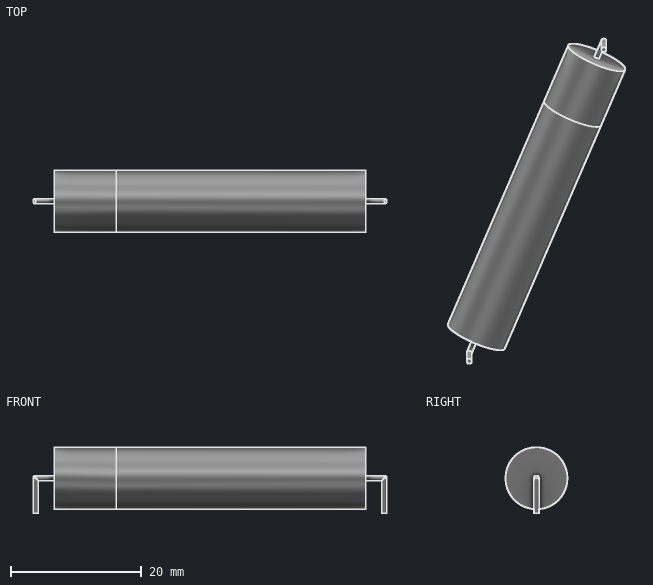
import cadquery as cq

overall_length = 54.15
case_diameter = 9.55
case_length = 47.75
cap_length = 9.55
wire_diameter = 0.8
leg_depth = 5.35

case_radius = case_diameter / 2
wire_radius = wire_diameter / 2
case_end = case_length / 2
bend_x = overall_length / 2 - wire_radius
arm_length = bend_x - case_end

LEFT = -1
RIGHT = 1


def x_cylinder(radius, start_x, length):
    """Cylinder on the X axis, running toward +X from start_x."""
    return cq.Workplane("YZ", origin=(start_x, 0, 0)).circle(radius).extrude(length)


def make_cap():
    """Short section at the -X end of the case."""
    return x_cylinder(case_radius, -case_end, cap_length)


def make_body():
    """Long section of the case, touching the cap."""
    return x_cylinder(case_radius, cap_length - case_end, case_length - cap_length)


def mitre_cutter(side, toward_arm):
    """Wedge on one side of the 45 degree mitre inside a bend."""
    inner_x = side * (bend_x - wire_diameter)
    bend = (side * bend_x, 0)
    inner_corner = (inner_x, -wire_diameter)
    third_corner = (inner_x, 0) if toward_arm else (side * bend_x, -wire_diameter)
    return (
        cq.Workplane("XZ")
        .polyline([bend, inner_corner, third_corner])
        .close()
        .extrude(wire_diameter, both=True)
    )


def make_arm(side):
    """Wire from the case end face to the bend, mitred on its underside."""
    start_x = case_end if side == RIGHT else -bend_x
    return x_cylinder(wire_radius, start_x, arm_length).cut(mitre_cutter(side, toward_arm=False))


def make_leg(side):
    """Wire from the bend down to the tip, mitred on its inner side."""
    leg = cq.Workplane("XY", origin=(side * bend_x, 0, 0)).circle(wire_radius).extrude(-leg_depth)
    return leg.cut(mitre_cutter(side, toward_arm=True))


def make_elbow(side):
    """Quarter ball that rounds the outside of the bend between arm and leg."""
    ball = cq.Workplane("XY").sphere(wire_radius)
    outer_quadrant = cq.Workplane("XY").box(
        wire_diameter, wire_diameter * 2, wire_diameter
    ).translate((side * wire_radius, 0, wire_radius))
    return ball.intersect(outer_quadrant).translate((side * bend_x, 0, 0))


cap = make_cap()
body = make_body()

wire_solids = []
for side in (LEFT, RIGHT):
    wire_solids.append(make_arm(side).solids().val())
    wire_solids.append(make_elbow(side).solids().val())
    wire_solids.append(make_leg(side).solids().val())

result = cq.Compound.makeCompound([cap.val(), body.val(), *wire_solids])